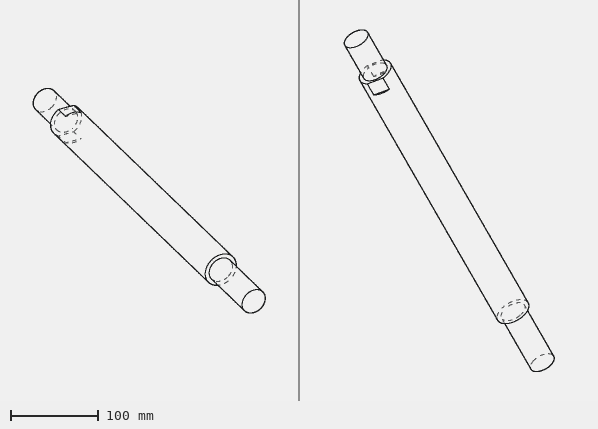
import cadquery as cq

total_length = 509.5
body_diameter = 40.0
journal_diameter = 30.0
left_journal_length = 54.0
right_journal_length = 82.0
dome_height = 2.5

flat_length = 17.5
across_flats = 35.0

left_end = -total_length / 2
right_end = total_length / 2
body_start = left_end + left_journal_length
body_end = right_end - right_journal_length
body_radius = body_diameter / 2
journal_radius = journal_diameter / 2

dome_radius = (journal_radius**2 + dome_height**2) / (2 * dome_height)


def make_stepped_shaft():
    """Revolve the half profile: two dome-ended journals with the body between."""
    return (
        cq.Workplane("XY")
        .moveTo(left_end, 0)
        .radiusArc((left_end + dome_height, journal_radius), dome_radius)
        .lineTo(body_start, journal_radius)
        .lineTo(body_start, body_radius)
        .lineTo(body_end, body_radius)
        .lineTo(body_end, journal_radius)
        .lineTo(right_end - dome_height, journal_radius)
        .radiusArc((right_end, 0), dome_radius)
        .close()
        .revolve(360, (0, 0, 0), (1, 0, 0))
    )


def make_flat_cutter(side):
    """Block whose inner face is the flat above (1) or below (-1) the axis."""
    block = cq.Workplane("XY").box(
        flat_length, body_diameter, body_diameter, centered=(False, True, True)
    )
    return block.translate((body_start, 0, side * (across_flats + body_diameter) / 2))


result = make_stepped_shaft()
for side in (1, -1):
    result = result.cut(make_flat_cutter(side))